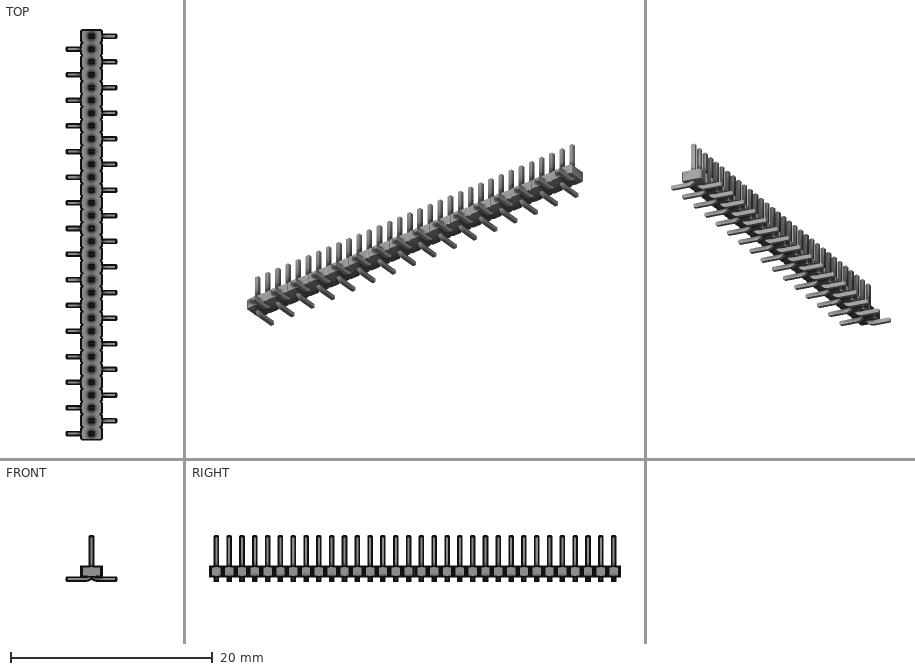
import cadquery as cq

PIN_COUNT = 32
PITCH = 1.27

BODY_WIDTH = 2.1
BODY_HEIGHT = 1.0
BODY_BOTTOM = 0.45
BODY_LENGTH = PIN_COUNT * PITCH
CORNER_BEVEL = 0.15

PIN_SIZE = 0.4
PIN_TOP = 4.5
FOOT_REACH = 2.5
BEND_OUTER_RADIUS = 0.8
BEND_INNER_RADIUS = BEND_OUTER_RADIUS - PIN_SIZE
TIP_BEVEL = 0.1


def make_body():
    """Plastic bar with bevelled ends and notched long sides."""
    half_width = BODY_WIDTH / 2
    waist = half_width - CORNER_BEVEL

    right_side = []
    for cell in range(PIN_COUNT):
        start = -BODY_LENGTH / 2 + cell * PITCH
        right_side.append((waist, start))
        right_side.append((half_width, start + CORNER_BEVEL))
        right_side.append((half_width, start + PITCH - CORNER_BEVEL))
    right_side.append((waist, BODY_LENGTH / 2))
    left_side = [(-x, y) for x, y in reversed(right_side)]

    return (
        cq.Workplane("XY", origin=(0, 0, BODY_BOTTOM))
        .polyline(right_side + left_side)
        .close()
        .extrude(BODY_HEIGHT)
    )


def make_pin():
    """One pin at Y = 0 whose foot points toward -X."""
    half = PIN_SIZE / 2
    bend_x = half - BEND_OUTER_RADIUS
    bend_z = BEND_OUTER_RADIUS
    pin = (
        cq.Workplane("XZ")
        .moveTo(-FOOT_REACH, 0)
        .lineTo(bend_x, 0)
        .radiusArc((half, bend_z), -BEND_OUTER_RADIUS)
        .lineTo(half, PIN_TOP)
        .lineTo(-half, PIN_TOP)
        .lineTo(-half, bend_z)
        .radiusArc((bend_x, PIN_SIZE), BEND_INNER_RADIUS)
        .lineTo(-FOOT_REACH, PIN_SIZE)
        .close()
        .extrude(half, both=True)
    )
    return pin.faces(">Z or <X").chamfer(TIP_BEVEL)


left_pin = make_pin()
right_pin = left_pin.rotate((0, 0, 0), (0, 0, 1), 180)
first_pin_y = (PITCH - BODY_LENGTH) / 2

pins = []
for index in range(PIN_COUNT):
    pin = left_pin if index % 2 == 0 else right_pin
    pins.append(pin.translate((0, first_pin_y + index * PITCH, 0)).val())

result = cq.Workplane(make_body().val().fuse(*pins))